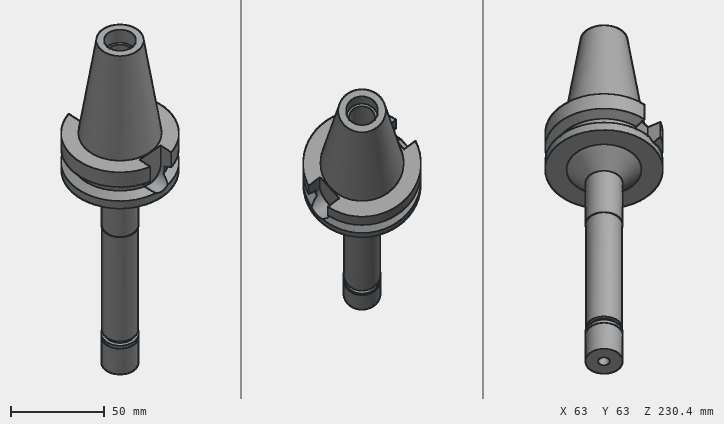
import cadquery as cq


taper_length = 65.4
gauge_diameter = 44.45
taper_ratio = 7 / 24
taper_end_diameter = gauge_diameter - taper_ratio * taper_length

flange_diameter = 63.0
flange_top = -1.0
flange_bottom = -27.0
groove_root_diameter = 53.0
groove_center = -16.6
groove_mouth_height = 10.0
groove_root_height = 4.3

keyway_width = 16.1
keyway_floor = 22.5
keyway_bottom = -23.0
keyway_arc_center = keyway_bottom + keyway_width / 2

shank_diameter = 20.0
shoulder_height = 10.0
shoulder_diameter = shank_diameter + 2 * shoulder_height
shoulder_bottom = flange_bottom - shoulder_height
relief_diameter = 19.5
relief_top = -66.7
shank_bottom = -141.5
neck_diameter = 16.0

collar_diameter = 20.2
collar_top = -144.2
collar_height = 2.2

nut_diameter = 20.0
nut_top = collar_top - collar_height
nut_bottom = -165.0

pilot_diameter = 17.0
pilot_depth = 9.4
drawbar_diameter = 14.0
drawbar_depth = 40.0
coolant_diameter = 7.2
nut_bore_diameter = 6.3


def turned(profile):
    """Revolve (diameter, height) points about Z, closing the outline along the axis."""
    outline = [(0, profile[0][1])]
    outline += [(diameter / 2, height) for diameter, height in profile]
    outline += [(0, profile[-1][1])]
    return cq.Workplane("XZ").polyline(outline).close().revolve(360, (0, 0, 0), (0, 1, 0))


def cylinder(diameter, bottom, top):
    return cq.Workplane("XY", origin=(0, 0, bottom)).circle(diameter / 2).extrude(top - bottom)


def keyway(side):
    """Round-ended drive slot on the +X (side = 1) or -X (side = -1) edge of the flange."""
    half = keyway_width / 2
    return (
        cq.Workplane("YZ", origin=(side * keyway_floor, 0, 0))
        .moveTo(-half, 0)
        .lineTo(-half, keyway_arc_center)
        .threePointArc((0, keyway_bottom), (half, keyway_arc_center))
        .lineTo(half, 0)
        .close()
        .extrude(side * flange_diameter / 2)
    )


def make_holder():
    holder = turned([
        (taper_end_diameter, taper_length),
        (gauge_diameter, 0),
        (gauge_diameter, flange_top),
        (flange_diameter, flange_top),
        (flange_diameter, groove_center + groove_mouth_height / 2),
        (groove_root_diameter, groove_center + groove_root_height / 2),
        (groove_root_diameter, groove_center - groove_root_height / 2),
        (flange_diameter, groove_center - groove_mouth_height / 2),
        (flange_diameter, flange_bottom),
        (shoulder_diameter, flange_bottom),
        (shank_diameter, shoulder_bottom),
        (shank_diameter, relief_top),
        (relief_diameter, relief_top),
        (relief_diameter, shank_bottom),
        (neck_diameter, shank_bottom),
        (neck_diameter, collar_top),
        (collar_diameter, collar_top),
        (collar_diameter, nut_top),
    ])
    for side in (-1, 1):
        holder = holder.cut(keyway(side))
    holder = holder.cut(cylinder(pilot_diameter, taper_length - pilot_depth, taper_length))
    holder = holder.cut(cylinder(drawbar_diameter, taper_length - drawbar_depth, taper_length))
    return holder.cut(cylinder(coolant_diameter, nut_top, taper_length))


def make_nut():
    nut = cylinder(nut_diameter, nut_bottom, nut_top)
    return nut.cut(cylinder(nut_bore_diameter, nut_bottom, nut_top))


holder = make_holder()
nut = make_nut()
result = cq.Compound.makeCompound([holder.val(), nut.val()])